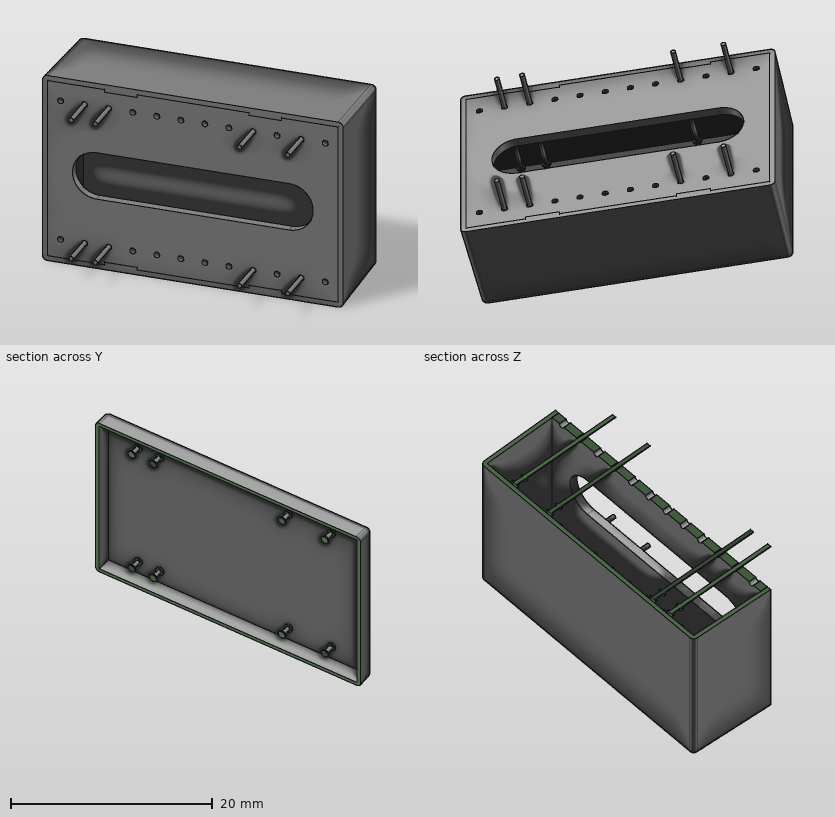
import cadquery as cq

case_length = 31.8
case_height = 20.3
case_depth = 10.2
back_length = 31.42
back_height = 19.78
edge_radius = 0.55
cavity_draft = 1.0
rim_width = 0.55
back_wall = 0.5

plate_thickness = 0.92
plate_length = case_length - 2 * rim_width
plate_height = case_height - 2 * rim_width
slot_length = 25.45
slot_height = 5.1

tab_length = 3.45
tab_depth = 0.3
tab_offset = 7.63

pitch = 2.55
columns = 12
row_spacing = 15.2
hole_diameter = 0.6
pin_columns = (1, 2, 8, 10)

pin_diameter = 0.48
pin_projection = 3.82
collar_diameter = 0.9
collar_thickness = 0.2
collar_gap = 1.02
pin_end_gap = 0.22

cavity_depth = case_depth - back_wall
pin_depth = cavity_depth - pin_end_gap
row_heights = (-row_spacing / 2, row_spacing / 2)


def column_x(column):
    """X position of a column of the pin grid, counted from the -X end."""
    return (column - (columns - 1) / 2) * pitch


def open_face(y=0.0):
    """Plane parallel to XZ at the given Y, with its normal toward +Y and local Y toward -Z."""
    return cq.Workplane(cq.Plane(origin=(0, y, 0), xDir=(1, 0, 0), normal=(0, 1, 0)))


def locating_tabs():
    """Four blocks against the long walls, as deep as the base plate."""
    tab_z = (plate_height - tab_depth) / 2
    places = [(x, z) for x in (-tab_offset, tab_offset) for z in (-tab_z, tab_z)]
    return open_face().pushPoints(places).rect(tab_length, tab_depth).extrude(plate_thickness)


def make_case():
    """Drafted box with rounded edges, hollowed from the open face."""
    shell = (
        open_face()
        .rect(case_length, case_height)
        .workplane(offset=case_depth)
        .rect(back_length, back_height)
        .loft(ruled=True)
    )
    shell = shell.edges("not <Y").fillet(edge_radius)

    plate_recess = open_face().rect(plate_length, plate_height).extrude(plate_thickness)
    cavity = (
        open_face(plate_thickness)
        .rect(plate_length, plate_height)
        .extrude(cavity_depth - plate_thickness, taper=cavity_draft)
    )
    return shell.cut(plate_recess).cut(cavity).union(locating_tabs())


def make_base_plate():
    """Flat plate with a central slot, two rows of holes and notches for the tabs."""
    plate = open_face().rect(plate_length, plate_height).extrude(plate_thickness)
    slot = open_face().slot2D(slot_length, slot_height).extrude(plate_thickness)
    hole_places = [(column_x(column), z) for column in range(columns) for z in row_heights]
    holes = open_face().pushPoints(hole_places).circle(hole_diameter / 2).extrude(plate_thickness)
    return plate.cut(slot).cut(holes).cut(locating_tabs())


def make_pin(x, z):
    """Round pin with one collar at its inner end and one ahead of it."""
    pin = open_face(-pin_projection).center(x, -z).circle(pin_diameter / 2)
    pin = pin.extrude(pin_projection + pin_depth)
    end_collar_y = pin_depth - collar_thickness
    for y in (end_collar_y, end_collar_y - collar_gap - collar_thickness):
        collar = open_face(y).center(x, -z).circle(collar_diameter / 2).extrude(collar_thickness)
        pin = pin.union(collar)
    return pin


case = make_case()
base_plate = make_base_plate()
pins = [make_pin(column_x(column), z) for column in pin_columns for z in row_heights]

result = cq.Compound.makeCompound([case.val(), base_plate.val(), *[pin.val() for pin in pins]])